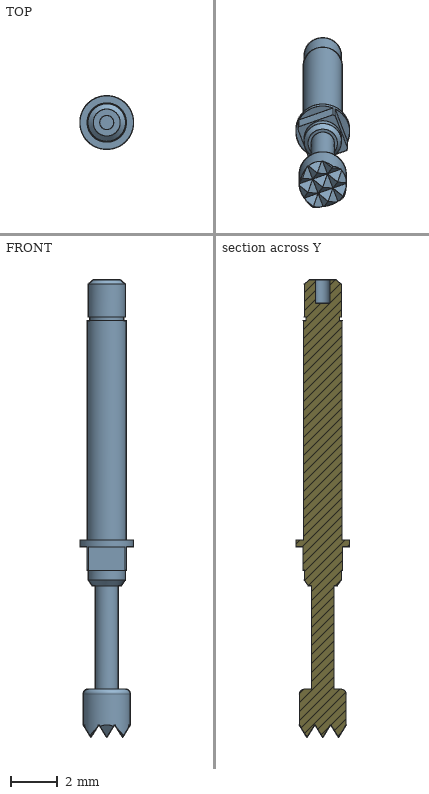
import cadquery as cq
import math


total_length = 19.53

tail_length = 11.1
barrel_dia = 1.68
cap_dia = 1.6
cap_length = 1.6
cap_top_dia = 1.15
cap_chamfer_height = 0.2
groove_dia = 1.46
groove_width = 0.15
bore_dia = 0.6
bore_depth = 1.0

collar_dia = 2.3
collar_thickness = 0.3
block_side = 1.7
block_height = 1.0
nose_dia = 1.6
nose_length = 0.66
nose_tip_dia = 1.25
nose_chamfer_height = 0.25

plunger_dia = 0.99
head_dia = 2.02
head_length = 2.07
head_fillet = 0.22
teeth_per_side = 3
tooth_angle = 64.0

tip_z = tail_length - total_length
head_top_z = tip_z + head_length
cap_bottom_z = tail_length - cap_length
barrel_top_z = cap_bottom_z - groove_width
block_top_z = -collar_thickness
block_bottom_z = block_top_z - block_height
nose_bottom_z = block_bottom_z - nose_length

tooth_pitch = head_dia / teeth_per_side
tooth_height = tooth_pitch / 2 / math.tan(math.radians(tooth_angle / 2))


def cylinder(diameter, bottom_z, top_z):
    """Cylinder on the Z axis between two levels."""
    return cq.Workplane("XY").workplane(offset=bottom_z).circle(diameter / 2).extrude(top_z - bottom_z)


def make_tail():
    """Barrel, groove and chamfered tail cap with its blind bore."""
    profile = [
        (0, 0),
        (barrel_dia / 2, 0),
        (barrel_dia / 2, barrel_top_z),
        (groove_dia / 2, barrel_top_z),
        (groove_dia / 2, cap_bottom_z),
        (cap_dia / 2, cap_bottom_z),
        (cap_dia / 2, tail_length - cap_chamfer_height),
        (cap_top_dia / 2, tail_length),
        (0, tail_length),
    ]
    tail = cq.Workplane("XZ").polyline(profile).close().revolve(360, (0, 0), (0, 1))
    return tail.cut(cylinder(bore_dia, tail_length - bore_depth, tail_length))


def make_collar_and_block():
    """Round collar over a square block whose corners are trimmed to the collar diameter."""
    collar = cylinder(collar_dia, block_top_z, 0)
    block = (
        cq.Workplane("XY")
        .workplane(offset=block_bottom_z)
        .rect(block_side, block_side)
        .extrude(block_height)
        .intersect(cylinder(collar_dia, block_bottom_z, block_top_z))
    )
    return collar.union(block)


def make_nose():
    """Round nose below the block, tapering at its lower end."""
    profile = [
        (0, block_bottom_z),
        (nose_dia / 2, block_bottom_z),
        (nose_dia / 2, nose_bottom_z + nose_chamfer_height),
        (nose_tip_dia / 2, nose_bottom_z),
        (0, nose_bottom_z),
    ]
    return cq.Workplane("XZ").polyline(profile).close().revolve(360, (0, 0), (0, 1))


def make_tooth_grooves(plane):
    """V grooves cut upward from the tips; their crests form one row of teeth across the head."""
    grooves = cq.Workplane(plane)
    for index in range(teeth_per_side + 1):
        centre = (index - teeth_per_side / 2) * tooth_pitch
        grooves = (
            grooves.moveTo(centre - tooth_pitch / 2, tip_z)
            .lineTo(centre, tip_z + tooth_height)
            .lineTo(centre + tooth_pitch / 2, tip_z)
            .close()
        )
    return grooves.extrude(head_dia, both=True)


def make_head():
    """Rounded head whose end is cut into a square grid of pyramid teeth."""
    head = cylinder(head_dia, tip_z, head_top_z).faces(">Z").edges().fillet(head_fillet)
    for plane in ("XZ", "YZ"):
        head = head.cut(make_tooth_grooves(plane))
    return head


plunger = cylinder(plunger_dia, head_top_z - head_fillet, nose_bottom_z)

result = make_tail().union(make_collar_and_block()).union(make_nose()).union(plunger).union(make_head())